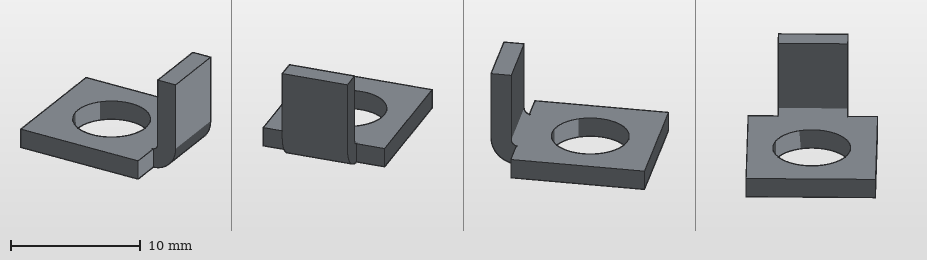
import cadquery as cq

total_length = 12.5
total_height = 7.7
thickness = 1.6

plate_length = 10.5
plate_width = 10.0
hole_diameter = 6.0
hole_x = 5.2

tab_width = 5.38
inner_bend_radius = 0.5
outer_bend_radius = inner_bend_radius + thickness
bend_x = total_length - outer_bend_radius
bend_z = outer_bend_radius
tab_inner_x = total_length - thickness


def make_plate():
    """Flat plate resting on Z = 0, centred on Y, with its through hole."""
    plate = cq.Workplane("XY").box(
        plate_length, plate_width, thickness, centered=(False, True, False)
    )
    hole = cq.Workplane("XY").center(hole_x, 0).circle(hole_diameter / 2).extrude(thickness)
    return plate.cut(hole)


def make_bend():
    """Quarter-ring bend that starts just inside the edge of the plate."""
    return (
        cq.Workplane("XZ")
        .moveTo(bend_x, 0)
        .radiusArc((total_length, bend_z), -outer_bend_radius)
        .lineTo(tab_inner_x, bend_z)
        .radiusArc((bend_x, thickness), inner_bend_radius)
        .close()
        .extrude(tab_width / 2, both=True)
    )


def make_tab():
    """Straight upright tab above the bend."""
    return (
        cq.Workplane("XY")
        .box(thickness, tab_width, total_height - bend_z, centered=(False, True, False))
        .translate((tab_inner_x, 0, bend_z))
    )


result = make_plate().union(make_bend()).union(make_tab())